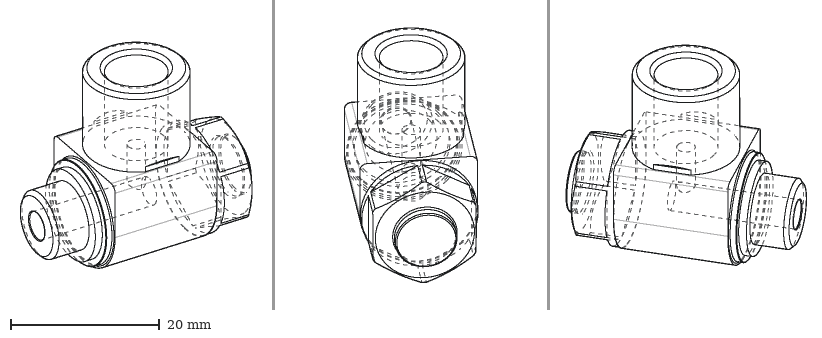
import cadquery as cq
import math

overall_length = 31.3
front_end = -overall_length / 2
rear_end = overall_length / 2

body_width = 16.0
body_radius = body_width / 2
body_front = -8.15
body_rear = body_front + body_width
body_edge_radius = 1.0

overall_height = 28.0
tower_top = overall_height - body_radius
tower_diameter = 14.5
tower_radius = tower_diameter / 2
tower_chamfer = 0.6
tower_flat_distance = 6.75
tower_flat_height = 0.78
socket_diameter = 8.58
socket_mouth_diameter = 9.73
socket_floor = body_radius
cross_hole_diameter = 2.5

seal_base_diameter = 15.43
seal_diameter = 15.0
seal_taper_length = 0.2
seal_front = -9.23
seal_edge = 0.1
collar_diameter = 13.0
collar_front = -10.33
spigot_diameter = 9.73
spigot_chamfer = 0.6
bore_diameter = 4.0
bore_mouth_diameter = 4.25
bore_end = bore_diameter / 2

washer_diameter = 15.8
washer_rear = 9.08
hex_across_flats = 14.0
hex_rear = 14.15
hex_end_diameter = 13.45
hex_chamfer_angle = 30.0
stub_diameter = 8.4
stub_root_diameter = 8.75
stub_root_length = 0.35
stub_chamfer = 0.2


def turned_about_y(profile):
    """Revolve a closed profile of (radius, y) points about the Y axis."""
    return cq.Workplane("XY").polyline(profile).close().revolve(360, (0, 0, 0), (0, 1, 0))


def turned_about_z(profile):
    """Revolve a closed profile of (radius, z) points about the Z axis."""
    return cq.Workplane("XZ").polyline(profile).close().revolve(360, (0, 0, 0), (0, 1, 0))


def make_body():
    """Block with a half-round underside and rounded upper edges."""
    upper_block = (
        cq.Workplane("XY")
        .box(body_width, body_width, body_radius, centered=(True, False, False))
        .translate((0, body_front, 0))
        .edges("|Y and >Z")
        .fillet(body_edge_radius)
    )
    barrel = turned_about_y(
        [(0, body_front), (body_radius, body_front), (body_radius, body_rear), (0, body_rear)]
    )
    return upper_block.union(barrel)


def make_tower():
    """Chamfered cylinder with a flat and a sloped shoulder at the foot of each X side."""
    tower = turned_about_z(
        [
            (0, 0),
            (tower_radius, 0),
            (tower_radius, tower_top - tower_chamfer),
            (tower_radius - tower_chamfer, tower_top),
            (0, tower_top),
        ]
    )
    flat_depth = tower_radius - tower_flat_distance
    flat_top = body_radius + tower_flat_height
    relief = (
        cq.Workplane("XZ")
        .polyline(
            [
                (tower_flat_distance, 0),
                (tower_radius, 0),
                (tower_radius, flat_top + flat_depth),
                (tower_flat_distance, flat_top),
            ]
        )
        .close()
        .extrude(tower_radius, both=True)
    )
    return tower.cut(relief).cut(relief.mirror("YZ"))


def make_front_spigot():
    """Tapered seal ring, collar and chamfered spigot."""
    seal_radius = seal_diameter / 2
    collar_radius = collar_diameter / 2
    spigot_radius = spigot_diameter / 2
    return turned_about_y(
        [
            (0, body_front),
            (seal_base_diameter / 2, body_front),
            (seal_radius, body_front - seal_taper_length),
            (seal_radius, seal_front + seal_edge),
            (seal_radius - seal_edge, seal_front),
            (collar_radius, seal_front),
            (collar_radius, collar_front),
            (spigot_radius, collar_front),
            (spigot_radius, front_end + spigot_chamfer),
            (spigot_radius - spigot_chamfer, front_end),
            (0, front_end),
        ]
    )


def make_nut():
    """Washer face and a hexagon whose corners are turned down and chamfered."""
    washer_radius = washer_diameter / 2
    end_radius = hex_end_diameter / 2
    chamfer_length = (washer_radius - end_radius) * math.tan(math.radians(hex_chamfer_angle))
    turned_blank = turned_about_y(
        [
            (0, body_rear),
            (washer_radius, body_rear),
            (washer_radius, hex_rear - chamfer_length),
            (end_radius, hex_rear),
            (0, hex_rear),
        ]
    )
    hex_corner_diameter = hex_across_flats / math.cos(math.pi / 6)
    hexagon = (
        cq.Workplane("XZ", origin=(0, hex_rear, 0))
        .transformed(rotate=(0, 0, 30))
        .polygon(6, hex_corner_diameter)
        .extrude(hex_rear - washer_rear)
    )
    washer = turned_about_y(
        [(0, body_rear), (washer_radius, body_rear), (washer_radius, washer_rear), (0, washer_rear)]
    )
    return turned_blank.intersect(hexagon).union(washer)


def make_rear_stub():
    """Chamfered bolt end with a flared root."""
    stub_radius = stub_diameter / 2
    return turned_about_y(
        [
            (0, hex_rear),
            (stub_root_diameter / 2, hex_rear),
            (stub_radius, hex_rear + stub_root_length),
            (stub_radius, rear_end - stub_chamfer),
            (stub_radius - stub_chamfer, rear_end),
            (0, rear_end),
        ]
    )


def make_socket():
    """Flat-bottomed tower socket with a chamfered mouth."""
    socket_radius = socket_diameter / 2
    mouth_radius = socket_mouth_diameter / 2
    return turned_about_z(
        [
            (0, socket_floor),
            (socket_radius, socket_floor),
            (socket_radius, tower_top - (mouth_radius - socket_radius)),
            (mouth_radius, tower_top),
            (0, tower_top),
        ]
    )


def make_bore():
    """Blind bore from the spigot end to just past the tower axis."""
    bore_radius = bore_diameter / 2
    mouth_radius = bore_mouth_diameter / 2
    return turned_about_y(
        [
            (0, front_end),
            (mouth_radius, front_end),
            (bore_radius, front_end + mouth_radius - bore_radius),
            (bore_radius, bore_end),
            (0, bore_end),
        ]
    )


def make_cross_hole():
    """Hole joining the socket floor to the bore."""
    return cq.Workplane("XY").circle(cross_hole_diameter / 2).extrude(socket_floor)


result = make_body().union(make_tower())
for solid in (make_front_spigot(), make_nut(), make_rear_stub()):
    result = result.union(solid)
for cavity in (make_socket(), make_bore(), make_cross_hole()):
    result = result.cut(cavity)